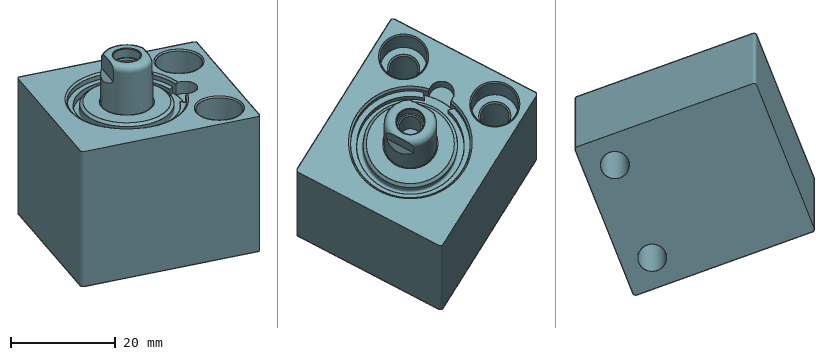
import cadquery as cq

overall_height = 39.0
block_width = 32.0
block_depth = 37.0
block_height = 29.4
corner_size = 0.62

mount_spacing = 20.0
mount_y = 12.48
mount_hole_dia = 5.5
mount_hole_chamfer = 0.3
counterbore_dia = 9.0
counterbore_depth = 5.5
counterbore_chamfer = 0.27

axis_y = -2.45
bore_dia = 22.8
bore_chamfer = 0.4
relief_dia = 4.85
relief_offset = 11.97
gland_thickness = 8.0
rim_top_depth = 1.33
rim_inner_dia = 20.5
rim_gap_apex = 7.1
rim_gap_half_width = 5.45
rim_gap_reach = 6.1
flange_top_depth = 2.65
boss_dia = 18.0
boss_top_depth = 0.55
boss_chamfer_height = 0.45
boss_chamfer_width = 0.62
boss_root_fillet = 0.4
root_margin = 0.05
gland_bore_chamfer = 0.27

rod_dia = 10.0
rod_top_fillet = 1.25
flat_spacing = 7.95
flat_height = 3.5
thread_recess_dia = 5.25
thread_recess_depth = 1.95
thread_recess_chamfer = 0.15
thread_hole_dia = 4.15
thread_hole_depth = 7.8
thread_hole_chamfer = 0.27

bore_floor = block_height - gland_thickness
rim_top = block_height - rim_top_depth
flange_top = block_height - flange_top_depth
boss_top = block_height - boss_top_depth


def disc(diameter, bottom, top, y=axis_y, x=0):
    """Upright cylinder between two levels, on the bore axis by default."""
    return cq.Workplane("XY", origin=(x, y, bottom)).circle(diameter / 2).extrude(top - bottom)


def countersink(diameter, chamfer, top, y=axis_y, x=0):
    """Cone that cuts a 45 degree chamfer into the mouth of a hole."""
    radius = diameter / 2
    return cq.Workplane(cq.Solid.makeCone(
        radius, radius + chamfer, chamfer, cq.Vector(x, y, top - chamfer), cq.Vector(0, 0, 1)
    ))


def make_mount_hole(x):
    """Counterbored through hole with both mouths chamfered."""
    step = block_height - counterbore_depth
    hole = disc(mount_hole_dia, 0, block_height, mount_y, x)
    hole = hole.union(countersink(mount_hole_dia, mount_hole_chamfer, step, mount_y, x))
    hole = hole.union(disc(counterbore_dia, step, block_height, mount_y, x))
    return hole.union(countersink(counterbore_dia, counterbore_chamfer, block_height, mount_y, x))


def make_housing():
    block = cq.Workplane("XY").box(block_width, block_depth, block_height, centered=(True, True, False))
    block = block.edges("|Z").fillet(corner_size)
    for x in (-mount_spacing / 2, mount_spacing / 2):
        block = block.cut(make_mount_hole(x))
    block = block.cut(disc(bore_dia, bore_floor, block_height))
    block = block.cut(countersink(bore_dia, bore_chamfer, block_height))
    relief = disc(relief_dia, flange_top, block_height, axis_y + relief_offset)
    neck = cq.Workplane("XY", origin=(0, axis_y + relief_offset / 2, flange_top))
    neck = neck.rect(relief_dia, relief_offset).extrude(flange_top_depth)
    return block.cut(relief.union(neck).cut(disc(bore_dia, bore_floor, block_height)))


def make_gland():
    flange = disc(bore_dia, bore_floor, flange_top)
    boss = disc(boss_dia, flange_top, boss_top)
    boss = boss.faces(">Z").edges().chamfer(boss_chamfer_height, boss_chamfer_width)
    body = flange.union(boss)
    root = cq.selectors.BoxSelector(
        (-boss_dia, axis_y - boss_dia, flange_top - root_margin),
        (boss_dia, axis_y + boss_dia, flange_top + root_margin),
    )
    body = body.edges(root).edges(cq.selectors.RadiusNthSelector(0)).fillet(boss_root_fillet)

    rim = disc(bore_dia, flange_top, rim_top).cut(disc(rim_inner_dia, flange_top, rim_top))
    wedge = (
        cq.Workplane("XY", origin=(0, axis_y + rim_gap_apex, flange_top))
        .polyline([
            (0, 0),
            (rim_gap_half_width, rim_gap_reach),
            (-rim_gap_half_width, rim_gap_reach),
        ])
        .close()
        .extrude(rim_top - flange_top)
    )
    body = body.union(rim.cut(wedge))

    body = body.cut(disc(rod_dia, bore_floor, boss_top))
    return body.cut(countersink(rod_dia, gland_bore_chamfer, boss_top))


def make_rod():
    rod = disc(rod_dia, bore_floor, overall_height).faces(">Z").edges().fillet(rod_top_fillet)
    flat_y = flat_spacing / 2
    flat_bottom = overall_height - flat_height
    flat_cut = (
        cq.Workplane("YZ", origin=(-rod_dia / 2, axis_y, 0))
        .polyline([
            (flat_y, overall_height),
            (flat_y, flat_bottom),
            (flat_y + flat_height, flat_bottom - flat_height),
            (flat_y + flat_height, overall_height),
        ])
        .close()
        .extrude(rod_dia)
    )
    rod = rod.cut(flat_cut).cut(flat_cut.rotate((0, axis_y, 0), (0, axis_y, 1), 180))
    recess_floor = overall_height - thread_recess_depth
    rod = rod.cut(disc(thread_recess_dia, recess_floor, overall_height))
    rod = rod.cut(countersink(thread_recess_dia, thread_recess_chamfer, overall_height))
    rod = rod.cut(disc(thread_hole_dia, overall_height - thread_hole_depth, recess_floor))
    return rod.cut(countersink(thread_hole_dia, thread_hole_chamfer, recess_floor))


housing = make_housing()
gland = make_gland()
rod = make_rod()

result = cq.Compound.makeCompound([housing.val(), gland.val(), rod.val()])